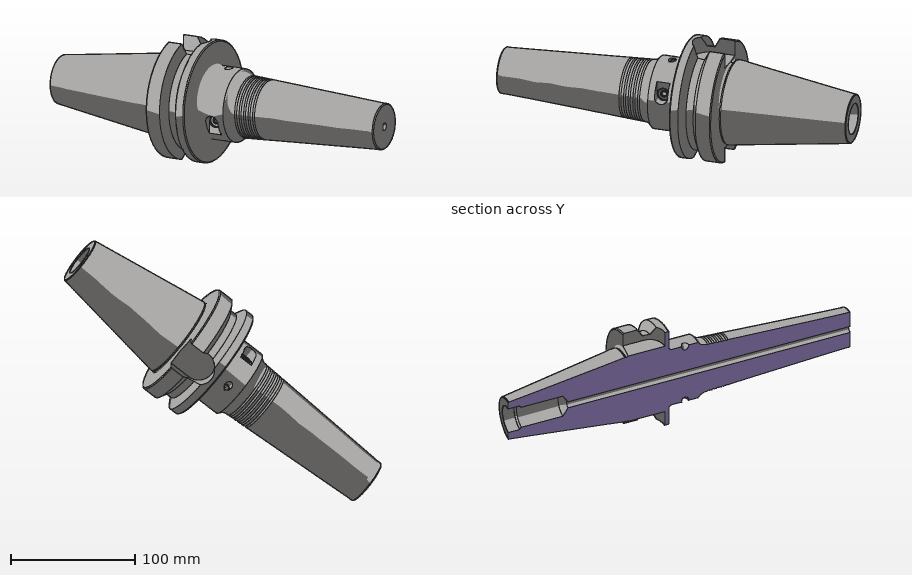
import cadquery as cq
import math

length = 296.8
gauge_x = 101.2
flange_x0 = 104.8
flange_x1 = 139.8
collar_x1 = 166.0
nose_root_x = 172.0
nose_land_x = 292.0

taper_small_r = 40.0 / 2
taper_slope = 7 / 48
taper_large_r = taper_small_r + gauge_x * taper_slope
taper_edge = 0.5
neck_r = 69.0 / 2
neck_fillet = 2.5

flange_r = 100.0 / 2
flange_edge = 1.0
groove_floor_r = 42.5
groove_x0 = 117.5
groove_x1 = 132.5
groove_wall_run = (flange_r - groove_floor_r) * math.tan(math.radians(30))

collar_r = 60.0 / 2
collar_fillet = 2.7
collar_edge = 1.2
nose_root_r = 25.5
nose_tip_r = 38.0 / 2
nose_edge = 1.0

ring_count = 5
ring_first_x = 174.0
ring_pitch = 4.0
ring_width = 1.8
ring_depth = 0.5

slot_width = 25.8
slot_floor_z = 35.3
slot_end_x = 136.0

bore_mouth_r = 25.5 / 2
bore_r = 25.0 / 2
bore_depth = 10.0
thread_major_r = 24.0 / 2
thread_core_r = 21.0 / 2
thread_depth = 47.5
coolant_r = 6.0 / 2
drill_half_angle = 59

side_x = 153.7
pocket_width = 11.0
pocket_floor_y = 22.5
pocket_z = 9.0
socket_steps = [(11.0, 0.5), (9.5, 1.2), (5.5, 2.0), (4.2, 2.7)]
port_d = 6.0
port_tilt = 42.0
port_depth = 4.7
port_pilot_d = 4.2
port_pilot_depth = 9.0


def revolve_x(outline):
    """Revolve a closed half outline about the X axis."""
    return outline.close().revolve(360, (0, 0, 0), (1, 0, 0))


def nose_radius(x):
    """Radius of the nose taper at x."""
    slope = (nose_root_r - nose_tip_r) / (nose_land_x - nose_root_x)
    return nose_root_r - (x - nose_root_x) * slope


def make_body():
    """Solid of revolution: drive taper, flange, collar and nose."""
    runout_start_r = collar_r - collar_edge
    runout_drop = runout_start_r - nose_root_r
    runout_length = nose_root_x - collar_x1
    runout_r = (runout_length**2 + runout_drop**2) / (2 * runout_drop)
    outline = (
        cq.Workplane("XY")
        .lineTo(0, taper_small_r - taper_edge)
        .lineTo(taper_edge, taper_small_r + taper_edge * taper_slope)
        .lineTo(gauge_x, taper_large_r)
        .lineTo(flange_x0 - neck_fillet, neck_r)
        .radiusArc((flange_x0, neck_r + neck_fillet), -neck_fillet)
        .lineTo(flange_x0, flange_r - flange_edge)
        .lineTo(flange_x0 + flange_edge, flange_r)
        .lineTo(groove_x0, flange_r)
        .lineTo(groove_x0 + groove_wall_run, groove_floor_r)
        .lineTo(groove_x1 - groove_wall_run, groove_floor_r)
        .lineTo(groove_x1, flange_r)
        .lineTo(flange_x1 - flange_edge, flange_r)
        .lineTo(flange_x1, flange_r - flange_edge)
        .lineTo(flange_x1, collar_r + collar_fillet)
        .radiusArc((flange_x1 + collar_fillet, collar_r), -collar_fillet)
        .lineTo(collar_x1 - collar_edge, collar_r)
        .lineTo(collar_x1, runout_start_r)
        .radiusArc((nose_root_x, nose_root_r), -runout_r)
        .lineTo(nose_land_x, nose_tip_r)
        .lineTo(length - nose_edge, nose_tip_r)
        .lineTo(length, nose_tip_r - nose_edge)
        .lineTo(length, 0)
    )
    return revolve_x(outline)


def make_ring_groove(x):
    """Round-bottomed groove cutter centred at x."""
    half = ring_width / 2
    left_r = nose_radius(x - half)
    right_r = nose_radius(x + half)
    outline = (
        cq.Workplane("XY")
        .moveTo(x - half, left_r)
        .threePointArc((x, nose_radius(x) - ring_depth), (x + half, right_r))
        .lineTo(x + half, left_r + ring_depth)
        .lineTo(x - half, left_r + ring_depth)
    )
    return revolve_x(outline)


def make_bore():
    """Stepped bore cutter: counterbore, thread core, drill cone and coolant hole through the nose."""
    mouth_edge = bore_mouth_r - bore_r
    thread_edge = thread_major_r - thread_core_r
    drill_cone = (thread_core_r - coolant_r) / math.tan(math.radians(drill_half_angle))
    outline = (
        cq.Workplane("XY")
        .lineTo(0, bore_mouth_r)
        .lineTo(mouth_edge, bore_r)
        .lineTo(bore_depth, bore_r)
        .lineTo(bore_depth, thread_major_r)
        .lineTo(bore_depth + thread_edge, thread_core_r)
        .lineTo(thread_depth, thread_core_r)
        .lineTo(thread_depth + drill_cone, coolant_r)
        .lineTo(length, coolant_r)
        .lineTo(length, 0)
    )
    return revolve_x(outline)


def make_drive_slot():
    """Round-ended slot open towards the drive taper, on the +Z side."""
    end_r = slot_width / 2
    end_x = slot_end_x - end_r
    height = flange_r - slot_floor_z
    base = cq.Workplane("XY", origin=(0, 0, slot_floor_z))
    channel = base.center((gauge_x + end_x) / 2, 0).rect(end_x - gauge_x, slot_width).extrude(height)
    return channel.union(base.center(end_x, 0).circle(end_r).extrude(height))


def make_pocket():
    """Pocket on the -Y side, round at the top, running out of the collar below."""
    height = collar_r - pocket_floor_y
    floor = cq.Workplane("XZ", origin=(side_x, -pocket_floor_y, -pocket_z))
    pocket = floor.circle(pocket_width / 2).extrude(height)
    pocket = pocket.union(floor.center(0, -collar_r / 2).rect(pocket_width, collar_r).extrude(height))
    for diameter, depth in socket_steps:
        pocket = pocket.union(floor.circle(diameter / 2).extrude(-depth))
    tip_d, tip_depth = socket_steps[-1]
    tip_base = floor.workplane(offset=-tip_depth)
    tip_length = tip_d / 2 / math.tan(math.radians(drill_half_angle))
    tip = cq.Solid.makeCone(tip_d / 2, 0, tip_length, tip_base.plane.origin, cq.Vector(0, 1, 0))
    return pocket.union(cq.Workplane(tip))


def make_port():
    """Tilted blind hole with a smaller pilot, entering the collar at +Z and leaning towards -Y."""
    overshoot = port_d
    mouth = cq.Workplane("XY", origin=(0, 0, overshoot))
    hole = mouth.circle(port_d / 2).extrude(-port_depth - overshoot)
    hole = hole.union(mouth.circle(port_pilot_d / 2).extrude(-port_pilot_depth - overshoot))
    return hole.rotate((0, 0, 0), (1, 0, 0), -port_tilt).translate((side_x, 0, collar_r))


body = make_body().cut(make_bore())
for index in range(ring_count):
    body = body.cut(make_ring_groove(ring_first_x + index * ring_pitch))
for cutter in (make_drive_slot(), make_pocket(), make_port()):
    body = body.cut(cutter)
    body = body.cut(cutter.rotate((0, 0, 0), (1, 0, 0), 180))

result = body